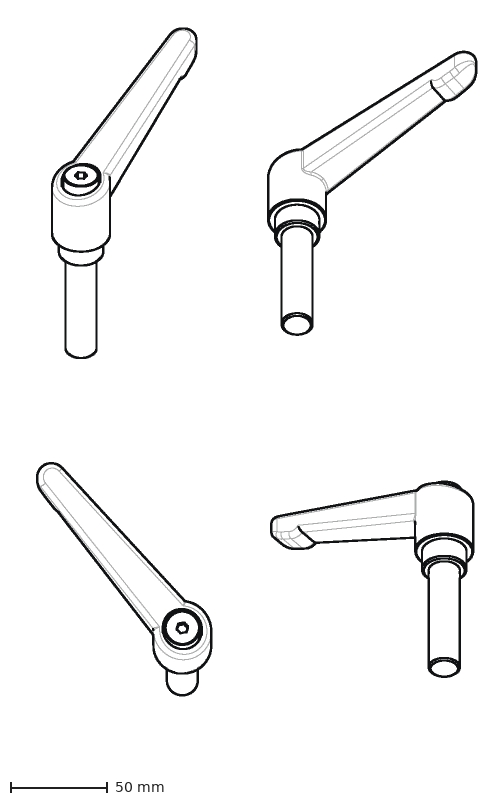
import cadquery as cq
import math


stud_radius = 8.0
collar_radius = 11.5
collar_bottom = 63.0
hub_bottom = 75.0
end_chamfer = 1.0

hub_radius = 15.0
hub_bottom_chamfer = 0.5
recess_radius = 10.1
recess_floor = 100.1

top_angle = 15.0
top_height = 110.9
underside_angle = 19.4
underside_height = 91.0
tip_y = 108.0
tip_radius = 7.5
tip_lower_z = 131.8
side_taper = 2.2
bump_start_y = 86.2
bump_lowest = (89.8, 120.0)
bump_flat_start = (93.5, 120.7)
bump_end = (98.7, 122.6)
edge_round = 2.8
root_round = 1.4

screw_radius = 9.0
screw_top = 113.7
screw_chamfer = 0.4
socket_flats = 5.3
socket_depth = 4.2

clear_height = 278.0
upright_limit = 0.98
tolerance = 0.01


def top_z(y):
    return top_height + y * math.tan(math.radians(top_angle))


def underside_z(y):
    return underside_height + y * math.tan(math.radians(underside_angle))


def make_hub():
    low_y, high_y = -2 * hub_radius, 2 * hub_radius
    hub = cq.Workplane("XY").workplane(offset=hub_bottom).circle(hub_radius).extrude(clear_height - hub_bottom)
    above_top = (
        cq.Workplane("YZ")
        .polyline([(low_y, top_z(low_y)), (high_y, top_z(high_y)), (high_y, clear_height),
                   (low_y, clear_height)])
        .close()
        .extrude(2 * hub_radius, both=True)
    )
    hub = hub.rotate((0, 0, 0), (0, 0, 1), 90).cut(above_top)
    return hub.faces("<Z").edges().chamfer(hub_bottom_chamfer).faces(">Z").edges().fillet(edge_round)


def round_arm(arm):
    """Round the long top and underside edges, leaving the upright and crosswise ones."""
    def is_long_edge(edge):
        middle = edge.Center()
        on_top = abs(middle.z - top_z(middle.y)) < tolerance
        runs_along_side = abs(middle.x) > tip_radius / 2
        is_upright = abs(edge.tangentAt(0.5).z) > upright_limit
        beyond_root = middle.y > tolerance
        is_tip_underside = middle.y > tip_y - tip_radius
        return beyond_root and not is_upright and (on_top or runs_along_side or is_tip_underside)

    edges = [edge for edge in arm.edges().vals() if is_long_edge(edge)]
    return arm.newObject(edges).fillet(edge_round)


def make_arm():
    """Side profile with a finger bump, trimmed by a tapered plan outline."""
    profile = (
        cq.Workplane("YZ")
        .moveTo(0, underside_z(0))
        .lineTo(bump_start_y, underside_z(bump_start_y))
        .threePointArc(bump_lowest, bump_flat_start)
        .lineTo(*bump_end)
        .tangentArcPoint((tip_y, tip_lower_z), relative=False)
        .lineTo(tip_y, top_z(tip_y))
        .lineTo(0, top_z(0))
        .close()
        .extrude(2 * hub_radius, both=True)
    )
    taper = math.radians(side_taper)
    tip_centre_y = tip_y - tip_radius
    tangent_x = tip_radius * math.cos(taper)
    tangent_y = tip_centre_y + tip_radius * math.sin(taper)
    root_half_width = tangent_x + tangent_y * math.tan(taper)
    plan = (
        cq.Workplane("XY")
        .moveTo(-root_half_width, 0)
        .lineTo(-tangent_x, tangent_y)
        .threePointArc((0, tip_y), (tangent_x, tangent_y))
        .lineTo(root_half_width, 0)
        .close()
        .extrude(clear_height)
    )
    return round_arm(profile.intersect(plan))


def make_handle():
    handle = make_hub().union(make_arm())

    def is_root_corner(edge):
        upright = edge.geomType() == "LINE" and abs(edge.tangentAt(0.5).z) > upright_limit
        beside_arm = abs(edge.Center().x) > tip_radius
        at_hub = edge.Center().y < hub_radius
        return upright and beside_arm and at_hub

    corners = [edge for edge in handle.edges().vals() if is_root_corner(edge)]
    handle = handle.newObject(corners).fillet(root_round)
    recess = cq.Workplane("XY").workplane(offset=recess_floor).circle(recess_radius).extrude(clear_height)
    return handle.cut(recess)


def make_stud():
    collar = (
        cq.Workplane("XY")
        .workplane(offset=collar_bottom)
        .circle(collar_radius)
        .extrude(hub_bottom - collar_bottom)
        .faces("<Z").edges().chamfer(end_chamfer)
    )
    shank = cq.Workplane("XY").circle(stud_radius).extrude(collar_bottom)
    shank = shank.faces("<Z").edges().chamfer(end_chamfer)
    return collar.union(shank)


def make_screw():
    """Round head resting on the recess floor, with a hexagon socket."""
    head = (
        cq.Workplane("XY")
        .workplane(offset=recess_floor)
        .circle(screw_radius)
        .extrude(screw_top - recess_floor)
        .faces(">Z").edges().chamfer(screw_chamfer)
    )
    socket = (
        cq.Workplane("XY")
        .workplane(offset=screw_top - socket_depth)
        .transformed(rotate=(0, 0, 90))
        .polygon(6, socket_flats / math.cos(math.pi / 6))
        .extrude(socket_depth)
    )
    return head.cut(socket)


handle = make_handle()
stud = make_stud()
screw = make_screw()

result = cq.Compound.makeCompound([handle.val(), stud.val(), screw.val()])